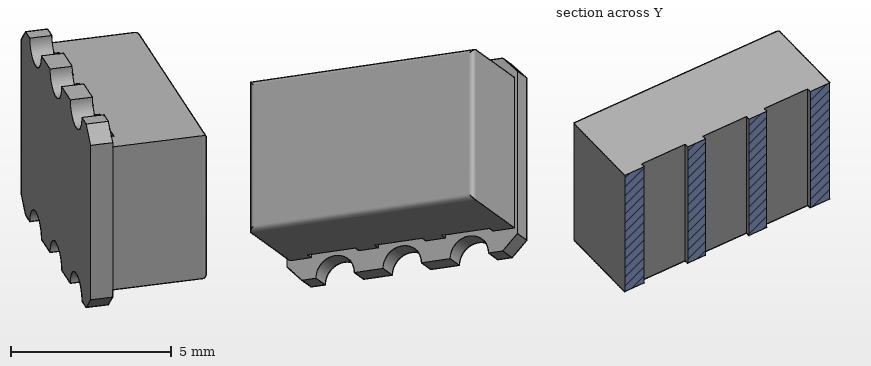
import cadquery as cq

plate_width = 7.87
plate_height = 6.35
plate_thickness = 0.72
corner_chamfer = 0.5

column_count = 3
column_pitch = 2.29
notch_radius = 0.65

total_depth = 3.82
cover_width = 7.67
cover_height = 4.95
cover_depth = total_depth - plate_thickness
cover_fillet = 0.16

slot_width = 1.62
slot_depth = 0.275

column_positions = [(i - (column_count - 1) / 2) * column_pitch for i in range(column_count)]


def block(width, depth, height, front_y):
    """Box centred on X and Z, with its front face at front_y."""
    return cq.Workplane("XY").box(width, depth, height).translate((0, front_y + depth / 2, 0))


def make_plate():
    """Plate with chamfered corners and half-round edge notches."""
    plate = block(plate_width, plate_thickness, plate_height, 0)
    plate = plate.edges("|Y").chamfer(corner_chamfer)
    notch_centres = [(x, side * plate_height / 2) for x in column_positions for side in (-1, 1)]
    notches = (
        cq.Workplane("XZ")
        .pushPoints(notch_centres)
        .circle(notch_radius)
        .extrude(-plate_thickness)
    )
    return plate.cut(notches)


def make_cover():
    """Cover block with a rounded rear rim and one slot per notch column."""
    cover = block(cover_width, cover_depth, cover_height, plate_thickness)
    cover = cover.faces(">Y").edges().fillet(cover_fillet)
    for x in column_positions:
        slot = block(slot_width, slot_depth, cover_height, plate_thickness)
        cover = cover.cut(slot.translate((x, 0, 0)))
    return cover


result = make_plate().union(make_cover())